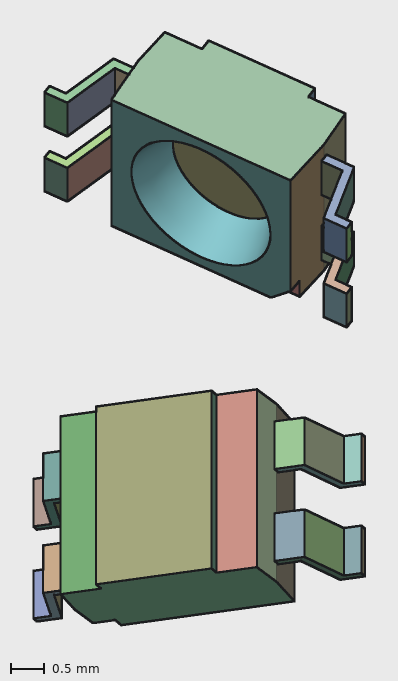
import cadquery as cq

span = 5.2
overall_depth = 1.9
body_height = 2.8

ridge_width = 3.2
front_width = 3.085
back_width = 3.11
front_y = 0.155
ridge_y = 1.02
back_y = 1.705
back_step_width = 1.83

mouth_diameter = 2.39
floor_diameter = 1.905
pocket_depth = 0.78

notch_size = 0.34
notch_depth = 0.235

lead_thickness = 0.15
lead_height = 0.75
lead_pitch = 1.445
lead_top_y = 1.095
foot_length = 0.395
leg_run = 0.25
leg_width_x = 0.115
lead_embed = 0.105


def extrude_z(points, height):
    """Extrude an XY outline symmetrically about Z = 0."""
    return cq.Workplane("XY").polyline(points).close().extrude(height / 2, both=True)


def make_body():
    right_side = [
        (front_width / 2, front_y),
        (ridge_width / 2, ridge_y),
        (back_width / 2, back_y),
        (back_step_width / 2, back_y),
        (back_step_width / 2, overall_depth),
    ]
    left_side = [(-x, y) for x, y in reversed(right_side)]
    return extrude_z(right_side + left_side, body_height)


def make_pocket():
    profile = [
        (0, front_y),
        (mouth_diameter / 2, front_y),
        (floor_diameter / 2, front_y + pocket_depth),
        (0, front_y + pocket_depth),
    ]
    return cq.Workplane("XY").polyline(profile).close().revolve(360, (0, 0, 0), (0, 1, 0))


def make_notch():
    corner_x = ridge_width / 2
    corner_z = -body_height / 2
    leg = notch_size + (ridge_width - front_width) / 2
    corner = [
        (corner_x, corner_z),
        (corner_x - leg, corner_z),
        (corner_x, corner_z + leg),
    ]
    return (
        cq.Workplane("XZ", origin=(0, front_y, 0))
        .polyline(corner)
        .close()
        .extrude(-notch_depth)
    )


def make_lead(side, z):
    """Bent lead; side is +1 for +X and -1 for -X."""
    tip_x = span / 2
    foot_x = tip_x - foot_length
    knee_x = foot_x - leg_run
    inner_x = ridge_width / 2 - lead_embed
    outline = [
        (tip_x, 0),
        (foot_x, 0),
        (knee_x, lead_top_y - lead_thickness),
        (inner_x, lead_top_y - lead_thickness),
        (inner_x, lead_top_y),
        (knee_x + leg_width_x, lead_top_y),
        (foot_x + leg_width_x, lead_thickness),
        (tip_x, lead_thickness),
    ]
    return extrude_z([(side * x, y) for x, y in outline], lead_height).translate((0, 0, z))


result = make_body().cut(make_pocket()).cut(make_notch())
for side in (-1, 1):
    for z in (-lead_pitch / 2, lead_pitch / 2):
        result = result.union(make_lead(side, z))